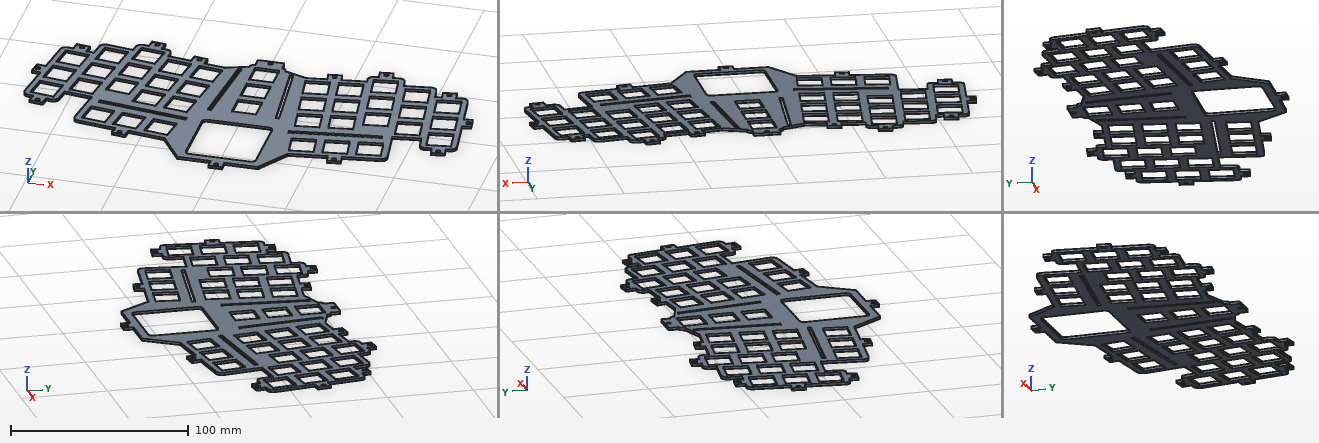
import cadquery as cq
import math


THICKNESS = 1.5
KEY_SIZE = 14.05
KEY_PITCH = 19.05
RIM = 3.5
KEY_REACH = KEY_SIZE / 2 + RIM
ROWS = 3
COLUMN_REACH = (ROWS - 1) / 2 * KEY_PITCH + KEY_REACH

SPLAY_ANGLE = 8.0
INNER_COLUMN_X = -36.93
MIDDLE_ROW_Y = 13.22
LEFT_STAGGER = (0.0, 0.0, 6.67, -1.0, -12.4)
RIGHT_STAGGER = (0.0, 0.0, 5.75, -2.68, -13.34)
THUMB_ROW_DROP = 2.5 * KEY_PITCH
THUMB_COLUMNS = (0, 1, 2)
THUMB_ROW_Y = MIDDLE_ROW_Y - THUMB_ROW_DROP
THUMB_RIM = 4.0
THUMB_REACH = KEY_SIZE / 2 + THUMB_RIM
THUMB_EDGE_Y = THUMB_ROW_Y - THUMB_REACH
FIELD_TOP_Y = MIDDLE_ROW_Y + COLUMN_REACH
FIELD_INNER_X = INNER_COLUMN_X + KEY_SIZE / 2

TAB_WIDTH = 8.0
TAB_LENGTH = 5.4
SIDE_TAB_LENGTH = 5.23
TAB_HOLE_OFFSET = 3.2
TAB_HOLE_DIAMETER = 2.5
SIDE_TAB_Y = 1.7
LEFT_TAB_SLIDE = -0.1
RIGHT_TAB_SLIDE = 0.6

CENTRE_KEY_Y = 24.8
CENTRE_TOP_Y = CENTRE_KEY_Y + COLUMN_REACH
WIDE_TAB_WIDTH = 15.6
WIDE_TAB_CORNER = 1.0
CENTRE_SHOULDER_Y = 51.1

SCREEN_SIZE = 40.8
SCREEN_Y = -34.55
SCREEN_CORNER = 2.5
FRAME_BOTTOM_Y = -59.9
FRAME_BOTTOM_WIDTH = 47.0

SLOT_WIDTH = 1.9
FIELD_SLOT_LENGTH = 53.0
FIELD_SLOT_X = -53.8
FIELD_SLOT_Y = MIDDLE_ROW_Y - 1.75 * KEY_PITCH
CENTRE_SLOT_LENGTH = 50.0
CENTRE_SLOT_X = 17.35
CENTRE_SLOT_Y = 22.45
CENTRE_SLOT_ANGLE = 5.5


def block(width, height, x, y):
    """Full-thickness rectangle centred on (x, y)."""
    return cq.Workplane("XY").box(width, height, THICKNESS, (True, True, False)).translate((x, y, 0))


def panel(left, right, bottom, top, round_corners):
    """Rectangle between the given sides, rounded at the listed corners, such as "<X >Y"."""
    body = block(right - left, top - bottom, (left + right) / 2, (bottom + top) / 2)
    for corner in round_corners:
        side, end = corner.split()
        body = body.edges("|Z").edges(side).edges(end).fillet(RIM)
    return body


def add_tab(plate, x, y, direction, length=TAB_LENGTH, width=TAB_WIDTH, corner=0.0):
    """Drilled tab standing out of the plate edge at (x, y), pointing along direction in degrees."""
    tab = block(RIM + length, width, (length - RIM) / 2, 0)
    if corner:
        tab = tab.edges("|Z and >X").fillet(corner)
    bore = cq.Workplane("XY").center(TAB_HOLE_OFFSET, 0).circle(TAB_HOLE_DIAMETER / 2).extrude(THICKNESS)

    def place(body):
        return body.rotate((0, 0, 0), (0, 0, 1), direction).translate((x, y, 0))

    return plate.union(place(tab)).cut(place(bore))


def cut_keys(plate, centres):
    for x, y in centres:
        plate = plate.cut(block(KEY_SIZE, KEY_SIZE, x, y))
    return plate


def column_keys(x, middle_y):
    return [(x, middle_y + (row - (ROWS - 1) / 2) * KEY_PITCH) for row in range(ROWS)]


def splay(body):
    """Turn an upright left-hand body to the splay angle."""
    return body.rotate((0, 0, 0), (0, 0, 1), -SPLAY_ANGLE)


def key_field(stagger, tab_slide):
    """Left-hand key field with its cut-outs and tabs, turned to the splay angle.

    tab_slide moves the upper tabs along +X and the lower tabs along -X.
    """
    xs = [INNER_COLUMN_X - i * KEY_PITCH for i in range(len(stagger))]
    ys = [MIDDLE_ROW_Y + shift for shift in stagger]
    second_x, third_x, fourth_x, outer_x = xs[1:]
    third_y, fourth_y, outer_y = ys[2:]

    inner = panel(second_x - KEY_REACH, FIELD_INNER_X, THUMB_EDGE_Y, FIELD_TOP_Y, [])
    third = panel(
        third_x - KEY_REACH, third_x + KEY_REACH, third_y - COLUMN_REACH, third_y + COLUMN_REACH,
        ["<X >Y", ">X >Y"],
    )
    thumb = panel(
        third_x - THUMB_REACH, third_x + KEY_REACH, THUMB_EDGE_Y, third_y - COLUMN_REACH,
        ["<X <Y"],
    )
    fourth = panel(
        fourth_x - KEY_REACH, fourth_x + KEY_REACH, fourth_y - COLUMN_REACH, fourth_y + COLUMN_REACH,
        ["<X >Y"],
    )
    outer = panel(
        outer_x - KEY_REACH, outer_x + KEY_REACH, outer_y - COLUMN_REACH, outer_y + COLUMN_REACH,
        ["<X >Y", "<X <Y", ">X <Y"],
    )
    field = inner.union(third).union(thumb).union(fourth).union(outer)

    for x, y in zip(xs, ys):
        field = cut_keys(field, column_keys(x, y))
    field = cut_keys(field, [(xs[i], THUMB_ROW_Y) for i in THUMB_COLUMNS])

    field = add_tab(field, (INNER_COLUMN_X + second_x) / 2 + tab_slide, FIELD_TOP_Y, 90)
    field = add_tab(field, third_x + tab_slide, third_y + COLUMN_REACH, 90)
    field = add_tab(field, outer_x + tab_slide, outer_y + COLUMN_REACH, 90)
    field = add_tab(field, outer_x - KEY_REACH, SIDE_TAB_Y, 180, length=SIDE_TAB_LENGTH)
    field = add_tab(field, outer_x - tab_slide, outer_y - COLUMN_REACH, 270)
    field = add_tab(field, second_x - tab_slide, THUMB_EDGE_Y, 270)
    return splay(field)


def field_slot():
    """Left-hand relief slot above the thumb row; it runs on into the centre panel."""
    return splay(block(FIELD_SLOT_LENGTH, SLOT_WIDTH, FIELD_SLOT_X, FIELD_SLOT_Y))


def splayed_point(x, y):
    """Plate position of a point given in upright field coordinates."""
    turn = math.radians(-SPLAY_ANGLE)
    return x * math.cos(turn) - y * math.sin(turn), x * math.sin(turn) + y * math.cos(turn)


def centre_panel():
    """Web between the two fields with the centre keys, screen window, slots and tabs."""
    field_top = splayed_point(FIELD_INNER_X, FIELD_TOP_Y)
    field_bottom = splayed_point(FIELD_INNER_X, THUMB_EDGE_Y)
    left_half = (
        cq.Workplane("XY")
        .moveTo(0, CENTRE_SHOULDER_Y)
        .lineTo(-KEY_REACH, CENTRE_SHOULDER_Y)
        .lineTo(*field_top)
        .lineTo(*field_bottom)
        .lineTo(-FRAME_BOTTOM_WIDTH / 2, FRAME_BOTTOM_Y)
        .lineTo(0, FRAME_BOTTOM_Y)
        .close()
        .extrude(THICKNESS)
    )
    column = panel(-KEY_REACH, KEY_REACH, CENTRE_KEY_Y, CENTRE_TOP_Y, ["<X >Y", ">X >Y"])
    web = left_half.union(left_half.mirror("YZ")).union(column)
    web = cut_keys(web, column_keys(0, CENTRE_KEY_Y))

    screen = block(SCREEN_SIZE, SCREEN_SIZE, 0, SCREEN_Y).edges("|Z").fillet(SCREEN_CORNER)
    web = web.cut(screen)
    for side in (-1, 1):
        slot = block(SLOT_WIDTH, CENTRE_SLOT_LENGTH, 0, 0)
        slot = slot.rotate((0, 0, 0), (0, 0, 1), side * CENTRE_SLOT_ANGLE)
        web = web.cut(slot.translate((side * CENTRE_SLOT_X, CENTRE_SLOT_Y, 0)))

    web = add_tab(web, 0, CENTRE_TOP_Y, 90, width=WIDE_TAB_WIDTH, corner=WIDE_TAB_CORNER)
    return add_tab(web, 0, FRAME_BOTTOM_Y, 270)


left_field = key_field(LEFT_STAGGER, LEFT_TAB_SLIDE)
right_field = key_field(RIGHT_STAGGER, RIGHT_TAB_SLIDE).mirror("YZ")
result = centre_panel().union(left_field).union(right_field)
result = result.cut(field_slot()).cut(field_slot().mirror("YZ"))